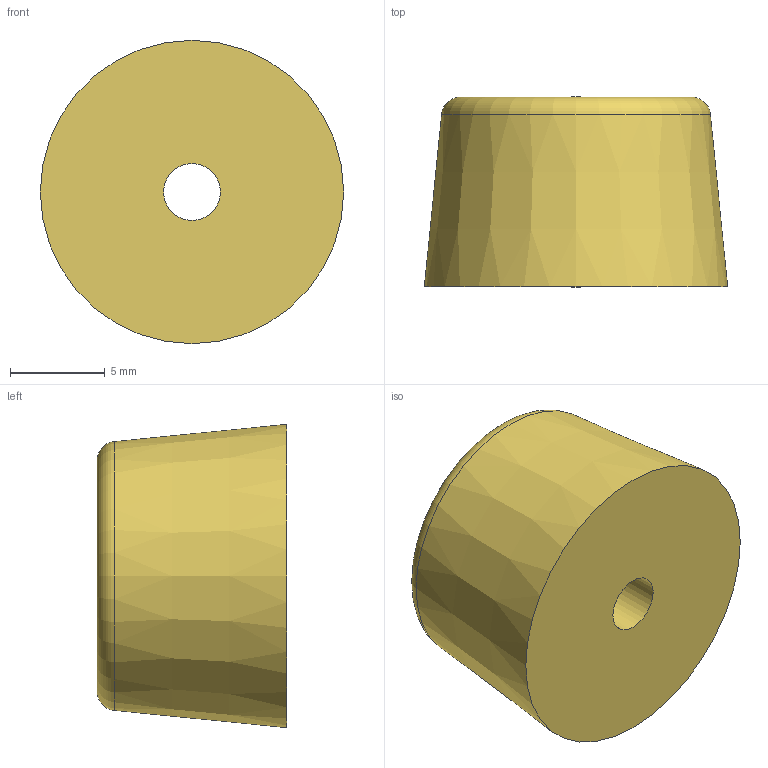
import cadquery as cq

height = 10.0
base_diameter = 16.0
tip_diameter = 14.0
hole_diameter = 3.0
tip_fillet = 1.0


def tapered_body():
    """Solid truncated cone with its half-profile in the YZ plane, revolved about Y."""
    profile = (
        cq.Workplane("YZ")
        .moveTo(0, 0)
        .lineTo(0, base_diameter / 2)
        .lineTo(height, tip_diameter / 2)
        .lineTo(height, 0)
        .close()
    )
    return profile.revolve(360, (0, 0, 0), (1, 0, 0))


def round_tip(body):
    """Round the rim of the narrow end."""
    return body.faces(">Y").edges().fillet(tip_fillet)


def screw_hole():
    """Cylinder that cuts the axial through hole."""
    return cq.Workplane("XZ").circle(hole_diameter / 2).extrude(-height)


result = round_tip(tapered_body()).cut(screw_hole())